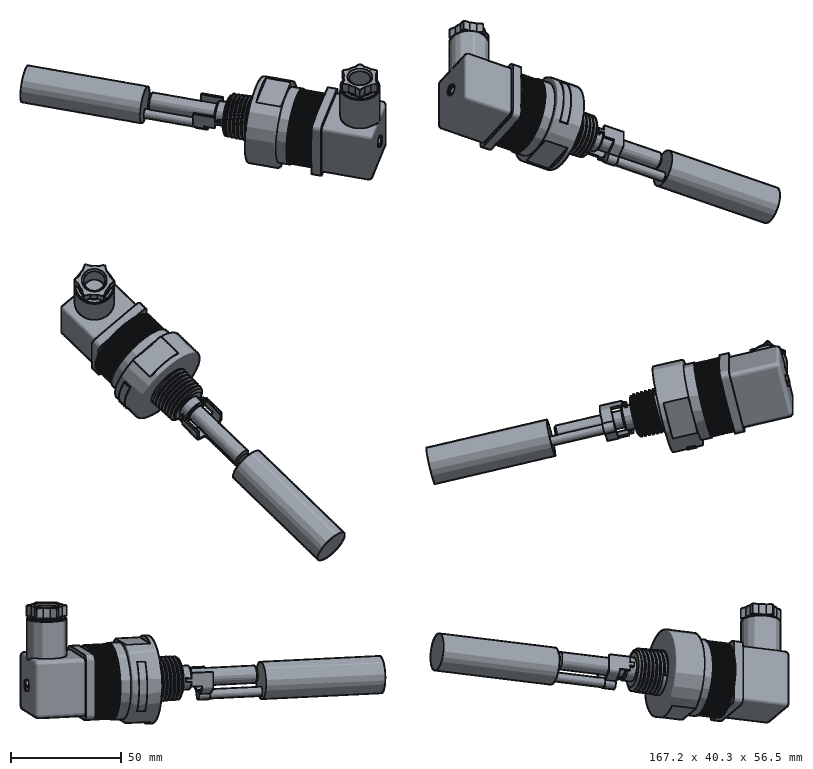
import cadquery as cq
import math


FLOAT_LENGTH = 56.2
FLOAT_RADIUS = 8.5
FLOAT_AXIS_Z = -3.0
ROD_RADIUS = 2.2
ROD_AXIS_Z = -8.0
CLIP_START_X = 80.8
CLIP_STRAP_LENGTH = 5.2
CLIP_ARM_LENGTH = 10.2
CLIP_HALF_WIDTH = 7.5
CLIP_THICKNESS = 1.0
CLIP_TOP_Z = 3.3
CLIP_ARM_BOTTOM_Z = -3.0
CLIP_BEND_Z = -4.5
CLIP_SLOPE_ANGLE = 30
CLIP_BEND_RADIUS = 2.2
CLIP_CORNER_RADIUS = 0.5
CRADLE_RADIUS = 2.5
TAB_END_X = 93.1
TAB_HEIGHT = 1.7
TAB_BEND_RADIUS = 0.8
TAB_TIP_Y = 4.3

TUBE_START_X = 58.5
TUBE_RADIUS = 4.0
TUBE_CHAMFER = 0.8
COLLAR_START_X = 90.0
COLLAR_RADIUS = 5.5
COLLAR_CHAMFER = 0.7
THREAD_START_X = 94.8
THREAD_START_RADIUS = 9.9
THREAD_FACE_RADIUS = 8.0
THREAD_LEAD_IN = 1.0
THREAD_PITCH = 1.8
THREAD_DEPTH = 1.2
THREAD_ROOT_WIDTH = 0.2
THREAD_GROOVE_WIDTH = 1.5
THREAD_RUNOUT = 1.0
TAPER_PER_LENGTH = 1 / 32
HEAD_START_X = 108.3
HEAD_END_X = 122.4
HEAD_RADIUS = 20.0
HEAD_FILLET = 0.5
HEAD_LIP = 2.5
FLAT_HALF_HEIGHT = 18.0
SHOULDER_END_X = 127.2
SHOULDER_RADIUS = 17.5
MARK_HEIGHT = 0.3
MARK_CENTRE_X = 117.4
MARK_WIDTH = 3.8
MARK_HALF_LENGTH = 11.4

RING_END_X = 138.5
RING_RADIUS = 17.0
KNURL_COUNT = 150
KNURL_DEPTH = 0.5
RING_GROOVE_X = 133.3
RING_GROOVE_WIDTH = 0.7

FLANGE_END_X = 142.8
FLANGE_SIDE = 30.1
FLANGE_CORNER_RADIUS = 2.8
BOX_END_X = 166.2
BOX_SIDE = 26.8
BOX_FILLET = 2.0
GLAND_X = 157.2
GLAND_RADIUS = 9.0
GLAND_TOP_Z = 30.8
GLAND_CHAMFER = 0.5
SCREW_RADIUS = 2.7
SCREW_END_X = 167.2
SCREW_FILLET = 0.7
SCREW_SLOT_WIDTH = 0.7

NUT_BOTTOM_Z = 31.6
NUT_TOP_Z = 36.5
NUT_POINTS = 6
NUT_POINT_RADIUS = 9.2
NUT_FIRST_POINT_ANGLE = 45
NUT_CORE_RADIUS = 7.4
NUT_CHAMFER = 0.5
SLEEVE_RADIUS = 7.0
SLEEVE_BOTTOM_Z = 26.8
BORE_RADIUS = 4.8
BORE_CHAMFER = 0.8


def disc_x(start_x, end_x, radius, z=0):
    """Solid cylinder along X."""
    return cq.Workplane("YZ", origin=(start_x, 0, z)).circle(radius).extrude(end_x - start_x)


def square_x(start_x, end_x, side):
    """Square prism along X, centred on the switch axis."""
    return cq.Workplane("YZ", origin=(start_x, 0, 0)).rect(side, side).extrude(end_x - start_x)


def disc_z(bottom_z, top_z, radius):
    """Solid cylinder along Z on the gland axis."""
    return cq.Workplane("XY", origin=(GLAND_X, 0, bottom_z)).circle(radius).extrude(top_z - bottom_z)


def pivot_tabs():
    """Narrow tabs that run on from the clip arms and bend inward to the collar."""
    length = TAB_END_X - CLIP_START_X - CLIP_CORNER_RADIUS
    leg = CLIP_HALF_WIDTH - TAB_TIP_Y
    tab = cq.Workplane("XY").box(length, leg, TAB_HEIGHT, centered=False)
    tab = tab.edges("|Z and >X and <Y").fillet(TAB_BEND_RADIUS)
    inside_bend = cq.Workplane("XY").box(
        length - CLIP_THICKNESS, leg - CLIP_THICKNESS, TAB_HEIGHT, centered=False
    ).translate((0, CLIP_THICKNESS, 0))
    tab = tab.cut(inside_bend).translate((TAB_END_X - length, -CLIP_HALF_WIDTH, -TAB_HEIGHT / 2))
    return tab.union(tab.mirror("XZ"))


def strap_block(half_width, bend_z, bend_radius):
    """Block whose sides turn inward at bend_z and slope down to meet in a V."""
    point_z = bend_z - half_width * math.tan(math.radians(CLIP_SLOPE_ANGLE))
    block = cq.Workplane("YZ", origin=(CLIP_START_X, 0, 0)).polyline([
        (-half_width, CLIP_ARM_BOTTOM_Z),
        (-half_width, bend_z),
        (0, point_z),
        (half_width, bend_z),
        (half_width, CLIP_ARM_BOTTOM_Z),
    ]).close().extrude(CLIP_STRAP_LENGTH)
    bends = cq.selectors.BoxSelector(
        (CLIP_START_X, -2 * half_width, bend_z - CLIP_THICKNESS / 10),
        (TAB_END_X, 2 * half_width, bend_z + CLIP_THICKNESS / 10),
    )
    return block.edges("|X").edges(bends).fillet(bend_radius)


def pivot_clip():
    """Bent strap with a cradle under the rod and two flat arms that end in the pivot tabs."""
    slope = math.radians(CLIP_SLOPE_ANGLE)
    inner_bend_z = CLIP_BEND_Z + CLIP_THICKNESS * (1 / math.cos(slope) - math.tan(slope))
    inner_half_width = CLIP_HALF_WIDTH - CLIP_THICKNESS
    clip = strap_block(CLIP_HALF_WIDTH, CLIP_BEND_Z, CLIP_BEND_RADIUS)
    clip = clip.union(disc_x(CLIP_START_X, CLIP_START_X + CLIP_STRAP_LENGTH, CRADLE_RADIUS, ROD_AXIS_Z))
    clip = clip.cut(strap_block(inner_half_width, inner_bend_z, CLIP_BEND_RADIUS - CLIP_THICKNESS))

    arm = cq.Workplane("XY").box(
        CLIP_ARM_LENGTH, CLIP_THICKNESS, CLIP_TOP_Z - CLIP_ARM_BOTTOM_Z, centered=False
    ).edges("|Y and >Z").fillet(CLIP_CORNER_RADIUS)
    arm = arm.translate((CLIP_START_X, -CLIP_HALF_WIDTH, CLIP_ARM_BOTTOM_Z))
    return clip.union(arm).union(arm.mirror("XZ")).union(pivot_tabs())


def make_float():
    cylinder = disc_x(0, FLOAT_LENGTH, FLOAT_RADIUS, FLOAT_AXIS_Z)
    rod = disc_x(FLOAT_LENGTH, CLIP_START_X + CLIP_STRAP_LENGTH, ROD_RADIUS, ROD_AXIS_Z)
    return cylinder.union(rod).union(pivot_clip())


def thread_groove():
    """Groove along a right-handed tapered helix, running in from before the thread start."""
    start_x = THREAD_START_X - THREAD_PITCH
    start_radius = THREAD_START_RADIUS - THREAD_PITCH * TAPER_PER_LENGTH
    length = HEAD_START_X - THREAD_RUNOUT - start_x
    taper_angle = math.degrees(math.atan(TAPER_PER_LENGTH))
    helix = cq.Wire.makeHelix(THREAD_PITCH, length, start_radius, angle=taper_angle)
    overshoot = 0.5
    flank_slope = (THREAD_GROOVE_WIDTH - THREAD_ROOT_WIDTH) / 2 / THREAD_DEPTH
    half_root = THREAD_ROOT_WIDTH / 2
    half_mouth = THREAD_GROOVE_WIDTH / 2 + overshoot * flank_slope
    root_radius = start_radius - THREAD_DEPTH
    mouth_radius = start_radius + overshoot
    profile = cq.Workplane("XZ").polyline([
        (root_radius, -half_root),
        (root_radius, half_root),
        (mouth_radius, half_mouth),
        (mouth_radius, -half_mouth),
    ]).close()
    groove = profile.sweep(cq.Workplane(obj=helix), isFrenet=True)
    return groove.rotate((0, 0, 0), (0, 1, 0), 90).translate((start_x, 0, 0))


def threaded_stub():
    length = HEAD_START_X - THREAD_START_X
    end_radius = THREAD_START_RADIUS + length * TAPER_PER_LENGTH
    blank = (
        cq.Workplane("XZ")
        .moveTo(THREAD_START_X, 0)
        .lineTo(THREAD_START_X, THREAD_FACE_RADIUS)
        .lineTo(THREAD_START_X + THREAD_LEAD_IN, THREAD_START_RADIUS)
        .lineTo(HEAD_START_X, end_radius)
        .lineTo(HEAD_START_X, 0)
        .close()
        .revolve(360, (0, 0, 0), (1, 0, 0))
    )
    return blank.cut(thread_groove())


def direction_mark():
    """Raised band on the +Y side of the head."""
    start_x = MARK_CENTRE_X - MARK_WIDTH / 2
    band = disc_x(start_x, start_x + MARK_WIDTH, HEAD_RADIUS + MARK_HEIGHT)
    window = cq.Workplane("XY").box(
        MARK_WIDTH, HEAD_RADIUS + MARK_HEIGHT, 2 * MARK_HALF_LENGTH, centered=(True, False, True)
    )
    return band.intersect(window.translate((MARK_CENTRE_X, 0, 0)))


def head():
    """Round head with a flat on the top and one on the bottom, behind a round lip."""
    body = disc_x(HEAD_START_X, HEAD_END_X, HEAD_RADIUS).edges().fillet(HEAD_FILLET)
    flat_length = HEAD_END_X - HEAD_START_X - HEAD_LIP
    cutter = cq.Workplane("XY").box(
        flat_length, 2 * HEAD_RADIUS, HEAD_RADIUS, centered=(False, True, False)
    ).translate((HEAD_START_X + HEAD_LIP, 0, FLAT_HALF_HEIGHT))
    body = body.cut(cutter).cut(cutter.mirror("XY"))
    return body.union(direction_mark())


def make_switch_body():
    tube = disc_x(TUBE_START_X, COLLAR_START_X, TUBE_RADIUS).faces("<X").chamfer(TUBE_CHAMFER)
    collar = disc_x(COLLAR_START_X, THREAD_START_X, COLLAR_RADIUS).faces("<X").chamfer(COLLAR_CHAMFER)
    collar = collar.cut(pivot_tabs())
    shoulder = disc_x(HEAD_END_X, SHOULDER_END_X, SHOULDER_RADIUS)
    return tube.union(collar).union(threaded_stub()).union(head()).union(shoulder)


def make_knurled_ring():
    """Disc with V-shaped teeth all round and a narrow groove at mid-length."""
    root_radius = RING_RADIUS - KNURL_DEPTH
    outline = []
    for i in range(2 * KNURL_COUNT):
        angle = math.pi * i / KNURL_COUNT
        radius = RING_RADIUS if i % 2 == 0 else root_radius
        outline.append((radius * math.cos(angle), radius * math.sin(angle)))
    length = RING_END_X - SHOULDER_END_X
    ring = cq.Workplane("YZ", origin=(SHOULDER_END_X, 0, 0)).polyline(outline).close().extrude(length)
    groove = (
        cq.Workplane("YZ", origin=(RING_GROOVE_X - RING_GROOVE_WIDTH / 2, 0, 0))
        .circle(RING_RADIUS + KNURL_DEPTH)
        .circle(root_radius)
        .extrude(RING_GROOVE_WIDTH)
    )
    return ring.cut(groove)


def cover_screw():
    """Round screw head with a cross slot."""
    screw = disc_x(BOX_END_X, SCREW_END_X, SCREW_RADIUS).faces(">X").edges().fillet(SCREW_FILLET)
    height = SCREW_END_X - BOX_END_X
    slot = cq.Workplane("XY").box(
        height, 2 * SCREW_RADIUS, SCREW_SLOT_WIDTH, centered=(False, True, True)
    ).translate((BOX_END_X, 0, 0))
    return screw.cut(slot).cut(slot.rotate((0, 0, 0), (1, 0, 0), 90))


def make_connector():
    flange = square_x(RING_END_X, FLANGE_END_X, FLANGE_SIDE).edges("|X").fillet(FLANGE_CORNER_RADIUS)
    box = square_x(FLANGE_END_X, BOX_END_X, BOX_SIDE)
    box = box.edges("|X or >X").fillet(BOX_FILLET)
    tube = disc_z(0, GLAND_TOP_Z, GLAND_RADIUS).faces(">Z").chamfer(GLAND_CHAMFER)
    recess = disc_z(SLEEVE_BOTTOM_Z, GLAND_TOP_Z, SLEEVE_RADIUS)
    return flange.union(box).union(tube).union(cover_screw()).cut(recess)


def make_gland_nut():
    """Star-shaped head on a sleeve that fits the gland tube, with a through bore chamfered at the top."""
    valley_radius = NUT_POINT_RADIUS / (math.cos(math.pi / NUT_POINTS) + math.sin(math.pi / NUT_POINTS))
    outline = []
    for i in range(2 * NUT_POINTS):
        angle = math.radians(NUT_FIRST_POINT_ANGLE) + math.pi * i / NUT_POINTS
        radius = NUT_POINT_RADIUS if i % 2 == 0 else valley_radius
        outline.append((radius * math.cos(angle), radius * math.sin(angle)))
    height = NUT_TOP_Z - NUT_BOTTOM_Z
    star = cq.Workplane("XY", origin=(GLAND_X, 0, NUT_BOTTOM_Z)).polyline(outline).close().extrude(height)
    nut = star.union(disc_z(NUT_BOTTOM_Z, NUT_TOP_Z, NUT_CORE_RADIUS))
    envelope = disc_z(NUT_BOTTOM_Z, NUT_TOP_Z, NUT_POINT_RADIUS).faces(">Z").chamfer(NUT_CHAMFER)
    nut = nut.intersect(envelope).union(disc_z(SLEEVE_BOTTOM_Z, NUT_BOTTOM_Z, SLEEVE_RADIUS))
    nut = nut.cut(disc_z(SLEEVE_BOTTOM_Z, NUT_TOP_Z, BORE_RADIUS))
    countersink = (
        cq.Workplane("XY", origin=(GLAND_X, 0, NUT_TOP_Z))
        .circle(BORE_RADIUS + BORE_CHAMFER)
        .workplane(offset=-BORE_CHAMFER)
        .circle(BORE_RADIUS)
        .loft(ruled=True)
    )
    return nut.cut(countersink)


float_arm = make_float()
switch_body = make_switch_body()
knurled_ring = make_knurled_ring()
connector = make_connector()
gland_nut = make_gland_nut()

result = cq.Compound.makeCompound([
    float_arm.val(),
    switch_body.val(),
    knurled_ring.val(),
    connector.val(),
    gland_nut.val(),
])